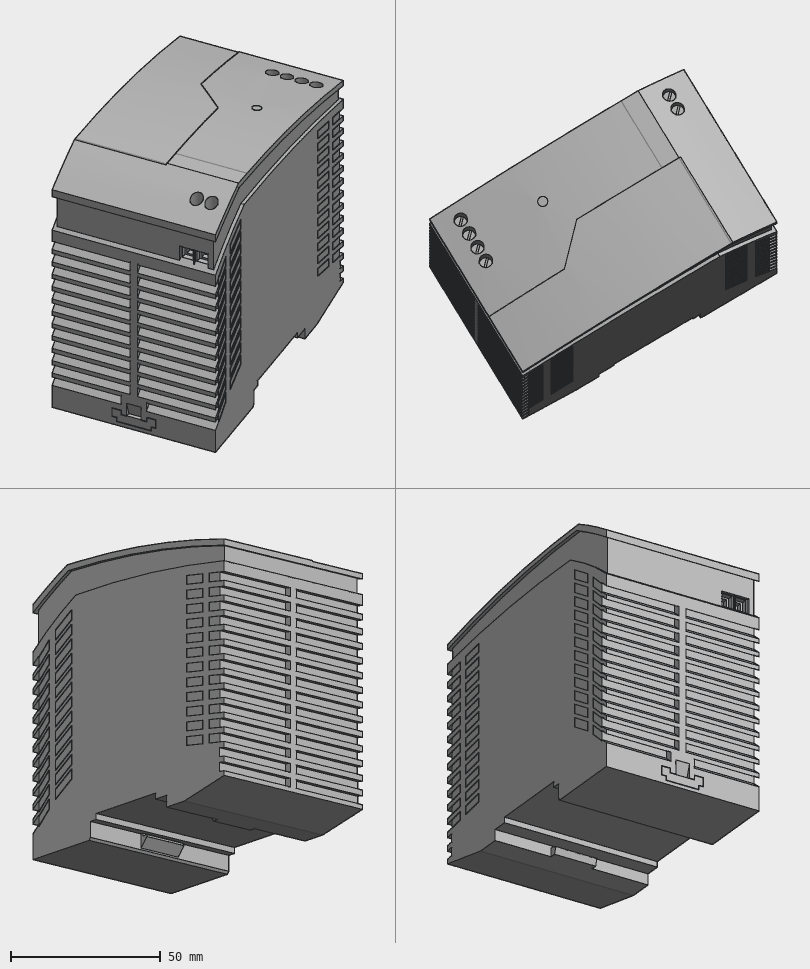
import cadquery as cq
import math


width = 60.4
depth = 98.9
height = 98.7
back = depth / 2
front = -depth / 2

body_back_top = 81.3
body_peak_y = -27.2
body_peak_z = 87.1
body_front_top = 72.4
body_top_bulge = 1.7
body_front_bulge = 0.7
back_bottom_z = 6.4
foot_y = 28.8
foot_z = 2.3
rail_half_width = 19.7
rail_step_z = 6.4
rail_top_z = 8.5
rail_back_y = 13.8
hook_tip = 16.7
hook_root_y = 18.6
hook_top_z = 5.5
hook_tip_z = 4.8
fixed_hook_foot_y = 17.5
corner_chamfer_y = 0.7
corner_chamfer_z = 0.9

neck_inset = 1.3
neck_front = front + neck_inset
neck_bottom = body_front_top - neck_inset

cover_back_top = 88.9
cover_front_top = 88.9
cover_thickness = 2.2
cover_front_lip = 2.9
cover_peak_y = -31.7
cover_band_y = -25.0
cover_band_drop = 0.2
cover_top_bulge = 1.9
cover_front_bulge = 0.3
underside_bulge = 2.2
underside_peak_y = -31.1
panel_step = 0.3
panel_bulge = 2.2
panel_back_x = -8.4
panel_front_x = 3.7
panel_jog_back_y = 20.2
panel_jog_front_y = 8.1

screw_pitch = 5.4
last_screw_x = 24.3
screw_diameter = 4.5
driver_slot_width = 0.7
driver_slot_depth = 0.5
driver_slot_angle = -45
front_screw_count = 2
front_screw_y = -40.3
front_screw_head_z = 89.0
back_screw_count = 4
back_screw_y = 40.9
back_screw_head_z = 85.1
indicator_x = 14.8
indicator_y = 14.6
indicator_diameter = 3.4
indicator_depth = 0.2

terminal_top_z = 79.2
terminal_width = 5.1
terminal_recess = 1.0
clamp_width = 4.0
clamp_height = 4.6
clamp_recess = 2.0
clamp_bottom_z = 74.3
wire_hole_width = 2.4
wire_hole_height = 3.3
wire_hole_depth = 2.0

side_vent_depth = 0.2
vent_rows = 12
rib_half_width = 1.4
wide_rib_half_width = 4.6

front_pitch = 5.0
front_vent_height = 3.5
front_groove_y = -46.6
front_groove_height = 3.4
front_groove_top = (70.2, 67.9)
front_outer_vent = ((-41.2, 74.7), (front_groove_y, 69.8))
front_inner_vent = ((-29.6, 82.5), (-37.9, 77.4))

back_vent_span = 56.2
back_pitch = back_vent_span / (vent_rows - 1)
back_vent_height = 3.1
back_groove_rows = vent_rows + 2
back_groove_y = 47.0
back_vent_top = 77.6
back_vent_slope = 0.16
back_outer_vent_end = 41.5
back_inner_vent = (38.3, 30.0)

latch_half_width = 8.1
latch_tail_half_width = 6.4
latch_notch_half_width = 4.7
latch_top_z = 6.4
latch_shoulder_z = 3.1
latch_notch_z = 4.7
latch_bottom_z = 1.5
latch_recess = 0.3
pull_half_width = 2.7
pull_top_z = 10.1
pull_depth = 1.8


def arc_middle(start, end, bulge):
    """Middle point of an arc that rises `bulge` above its chord in the YZ plane."""
    dy = end[0] - start[0]
    dz = end[1] - start[1]
    chord = math.hypot(dy, dz)
    side = -math.copysign(bulge, dy)
    return (
        (start[0] + end[0]) / 2 + side * dz / chord,
        (start[1] + end[1]) / 2 - side * dy / chord,
    )


def yz_prism(points, x_from, x_to):
    """Prism with a straight-sided YZ outline between two X positions."""
    outline = cq.Workplane("YZ").workplane(offset=x_from).polyline(points).close()
    return outline.extrude(x_to - x_from)


def box_between(x_range, y_range, z_range):
    """Axis-aligned box from its limits."""
    size = [limits[1] - limits[0] for limits in (x_range, y_range, z_range)]
    corner = (x_range[0], y_range[0], z_range[0])
    return cq.Workplane("XY").box(*size, centered=False).translate(corner)


def make_body():
    top_back = (back, body_back_top)
    peak = (body_peak_y, body_peak_z)
    top_front = (front, body_front_top)
    return (
        cq.Workplane("YZ")
        .moveTo(*top_back)
        .threePointArc(arc_middle(top_back, peak, body_top_bulge), peak)
        .threePointArc(arc_middle(peak, top_front, body_front_bulge), top_front)
        .lineTo(front, 0)
        .lineTo(-rail_half_width - corner_chamfer_y, 0)
        .lineTo(-rail_half_width, corner_chamfer_z)
        .lineTo(-rail_half_width, rail_step_z)
        .lineTo(-hook_tip, rail_step_z)
        .lineTo(-hook_tip, rail_top_z)
        .lineTo(rail_back_y, rail_top_z)
        .lineTo(rail_back_y, rail_step_z)
        .lineTo(rail_half_width, rail_step_z)
        .lineTo(rail_half_width, foot_z)
        .lineTo(foot_y, foot_z)
        .lineTo(back, back_bottom_z)
        .close()
        .extrude(width / 2, both=True)
    )


def under_cover(bottom_z, half_width):
    """Block from bottom_z up to the underside of the cover, over the full depth."""
    low_back = (back, cover_back_top - cover_thickness)
    peak = (underside_peak_y, height - cover_thickness)
    low_front = (front, cover_front_top - cover_front_lip)
    return (
        cq.Workplane("YZ")
        .moveTo(*low_back)
        .threePointArc(arc_middle(low_back, peak, underside_bulge), peak)
        .threePointArc(arc_middle(peak, low_front, cover_front_bulge), low_front)
        .lineTo(front, bottom_z)
        .lineTo(back, bottom_z)
        .close()
        .extrude(half_width, both=True)
    )


def make_neck():
    half_width = width / 2 - neck_inset
    inside = box_between(
        (-half_width, half_width), (neck_front, back - neck_inset), (neck_bottom, height)
    )
    neck = under_cover(neck_bottom, half_width).intersect(inside)
    for x in screw_columns(front_screw_count):
        neck = neck.cut(terminal_recess_box(x))
    return neck


def make_cover():
    top_back = (back, cover_back_top)
    band = (cover_band_y, height - cover_band_drop)
    peak = (cover_peak_y, height)
    top_front = (front, cover_front_top)
    full = (
        cq.Workplane("YZ")
        .moveTo(*top_back)
        .threePointArc(arc_middle(top_back, band, cover_top_bulge), band)
        .lineTo(*peak)
        .threePointArc(arc_middle(peak, top_front, cover_front_bulge), top_front)
        .lineTo(front, body_front_top)
        .lineTo(back, body_front_top)
        .close()
        .extrude(width / 2, both=True)
    )
    return full.cut(under_cover(body_front_top, width / 2)).cut(lowered_panel())


def lowered_panel():
    """Space above the left panel of the cover, which lies slightly below the right one."""
    panel_back = (back, cover_back_top - panel_step)
    panel_front = (cover_peak_y, height - panel_step)
    above_panel = (
        cq.Workplane("YZ")
        .moveTo(*panel_back)
        .threePointArc(arc_middle(panel_back, panel_front, panel_bulge), panel_front)
        .lineTo(front, height - panel_step)
        .lineTo(front, height + panel_step)
        .lineTo(back, height + panel_step)
        .close()
        .extrude(width / 2, both=True)
    )
    plan = (
        cq.Workplane("XY")
        .polyline(
            [
                (-width / 2, back),
                (panel_back_x, back),
                (panel_back_x, panel_jog_back_y),
                (panel_front_x, panel_jog_front_y),
                (panel_front_x, front),
                (-width / 2, front),
            ]
        )
        .close()
        .extrude(height + panel_step)
    )
    return above_panel.intersect(plan)


def screw_columns(count):
    """X positions of a screw row, counted from the right-hand screw."""
    return [last_screw_x - index * screw_pitch for index in range(count)]


def screw_row(count, y, head_z):
    """Vertical wells, each ending on a screw head with a diagonal driver slot."""
    bore = cq.Workplane("XY").circle(screw_diameter / 2).extrude(height - head_z)
    head = cq.Workplane("XY").circle(screw_diameter / 2).extrude(-driver_slot_depth)
    driver_slot = (
        cq.Workplane("XY")
        .rect(screw_diameter, driver_slot_width)
        .extrude(-driver_slot_depth)
        .rotate((0, 0, 0), (0, 0, 1), driver_slot_angle)
    )
    well = bore.union(driver_slot.intersect(head))
    return [well.translate((x, y, head_z)) for x in screw_columns(count)]


def indicator_window(cover):
    """Thin disc that follows the cover surface, sunk slightly into it."""
    column = (
        cq.Workplane("XY").center(indicator_x, indicator_y).circle(indicator_diameter / 2).extrude(height)
    )
    return column.intersect(cover).cut(cover.translate((0, 0, -indicator_depth)))


def centered_range(middle, size):
    return (middle - size / 2, middle + size / 2)


def terminal_recess_box(x):
    """Outer recess of a wire terminal, open down to the body ledge once cut from the neck alone."""
    return box_between(
        centered_range(x, terminal_width),
        (neck_front, neck_front + terminal_recess),
        (neck_bottom, terminal_top_z),
    )


def terminal_entry(x):
    """Clamp opening behind the outer recess, with the wire hole at its back."""
    clamp_back = neck_front + terminal_recess + clamp_recess
    clamp_z = clamp_bottom_z + clamp_height / 2
    clamp = box_between(
        centered_range(x, clamp_width),
        (neck_front, clamp_back),
        centered_range(clamp_z, clamp_height),
    )
    hole = box_between(
        centered_range(x, wire_hole_width),
        (clamp_back, clamp_back + wire_hole_depth),
        centered_range(clamp_z, wire_hole_height),
    )
    return clamp.union(hole)


def sloped_slot(start, end, slot_height, x_from, x_to):
    """Parallelogram slot; start and end are the (y, z) ends of its upper edge."""
    points = [start, end, (end[0], end[1] - slot_height), (start[0], start[1] - slot_height)]
    return yz_prism(points, x_from, x_to)


def lowered(point, drop):
    return (point[0], point[1] - drop)


def mirrored_slots(start, end, slot_height, inner_x):
    """The same slot on both halves of the width, from inner_x out to the side face."""
    right = sloped_slot(start, end, slot_height, inner_x, width / 2)
    return [right, right.mirror("YZ")]


def front_slots():
    slots = []
    vent_x = width / 2 - side_vent_depth
    for row in range(vent_rows):
        drop = row * front_pitch
        rib = wide_rib_half_width if row == vent_rows - 1 else rib_half_width
        groove_start = (front_groove_y, front_groove_top[0] - drop)
        groove_end = (front, front_groove_top[1] - drop)
        slots += mirrored_slots(groove_start, groove_end, front_groove_height, rib)
        for start, end in (front_outer_vent, front_inner_vent):
            slots += mirrored_slots(lowered(start, drop), lowered(end, drop), front_vent_height, vent_x)
    return slots


def back_slots():
    slots = []
    vent_x = width / 2 - side_vent_depth

    def edge(y, row):
        return (y, back_vent_top + (back - y) * back_vent_slope - row * back_pitch)

    for row in range(back_groove_rows):
        groove = (edge(back, row), edge(back_groove_y, row))
        slots += mirrored_slots(*groove, back_vent_height, rib_half_width)
    for row in range(vent_rows):
        for y_start, y_end in ((back_groove_y, back_outer_vent_end), back_inner_vent):
            slots += mirrored_slots(edge(y_start, row), edge(y_end, row), back_vent_height, vent_x)
    return slots


def latch_face():
    """Shallow recess that shows the latch plate in the front face."""
    head = box_between(
        (-latch_half_width, latch_half_width),
        (front, front + latch_recess),
        (latch_shoulder_z, latch_top_z),
    )
    tail = box_between(
        (-latch_tail_half_width, latch_tail_half_width),
        (front, front + latch_recess),
        (latch_bottom_z, latch_shoulder_z),
    )
    notch = box_between(
        (-latch_notch_half_width, latch_notch_half_width),
        (front, front + latch_recess),
        (latch_notch_z, latch_top_z),
    )
    return head.union(tail).cut(notch)


def latch_pull():
    """Wedge-shaped pocket for a screwdriver, deepest at its floor."""
    points = [(front, pull_top_z), (front, latch_notch_z), (front + pull_depth, latch_notch_z)]
    return yz_prism(points, -pull_half_width, pull_half_width)


def rail_hooks():
    """Latch nose in front of the rail and fixed hook behind it."""
    nose = [
        (-rail_half_width, latch_top_z),
        (-hook_root_y, latch_top_z),
        (-hook_root_y, hook_top_z),
        (-hook_tip, hook_top_z),
        (-hook_tip, hook_tip_z),
        (-rail_half_width, latch_bottom_z),
    ]
    hook = [
        (rail_half_width, hook_top_z),
        (hook_root_y, hook_top_z),
        (hook_tip, hook_tip_z),
        (fixed_hook_foot_y, foot_z),
        (rail_half_width, foot_z),
    ]
    return [yz_prism(points, -latch_half_width, latch_half_width) for points in (nose, hook)]


cover = make_cover()
result = make_body().union(make_neck()).union(cover)
for hook in rail_hooks():
    result = result.union(hook)

for slot in front_slots() + back_slots():
    result = result.cut(slot)

front_wells = screw_row(front_screw_count, front_screw_y, front_screw_head_z)
back_wells = screw_row(back_screw_count, back_screw_y, back_screw_head_z)
for well in front_wells + back_wells:
    result = result.cut(well)
result = result.cut(indicator_window(cover))
for column_x in screw_columns(front_screw_count):
    result = result.cut(terminal_entry(column_x))
result = result.cut(latch_face()).cut(latch_pull())